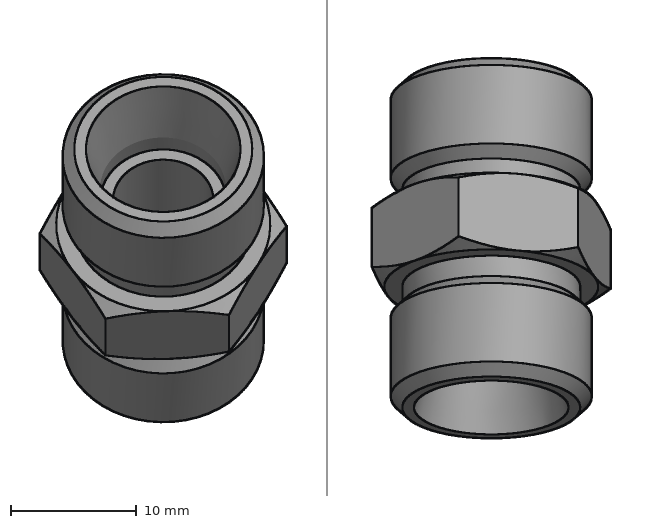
import cadquery as cq
import math

length = 27.0
half_length = length / 2
thread_radius = 16.0 / 2
neck_radius = 14.15 / 2
thread_chamfer = thread_radius - neck_radius

hex_across_flats = 17.0
hex_height = 6.5
hex_sides = 6
hex_half_side_angle = 180.0 / hex_sides
hex_chamfer_angle = 30.0
trim_clearance = 0.55
neck_length = 1.73

passage_radius = 8.0 / 2
socket_radius = 10.0 / 2
socket_depth = 7.0
cone_mouth_radius = 12.28 / 2
cone_half_angle = 12.0
cone_depth = (cone_mouth_radius - socket_radius) / math.tan(math.radians(cone_half_angle))


def revolve_half(profile):
    """Revolve (radius, height) points about the Z axis."""
    return cq.Workplane("XZ").polyline(profile).close().revolve(360, (0, 0), (0, 1))


def both_ends(upper_half):
    return upper_half.union(upper_half.mirror("XY"))


def threaded_body():
    neck_top = hex_height / 2 + neck_length
    return both_ends(revolve_half([
        (0, 0),
        (neck_radius, 0),
        (neck_radius, neck_top),
        (thread_radius, neck_top + thread_chamfer),
        (thread_radius, half_length - thread_chamfer),
        (neck_radius, half_length),
        (0, half_length),
    ]))


def hex_collar():
    flat_radius = hex_across_flats / 2
    corner_radius = flat_radius / math.cos(math.radians(hex_half_side_angle))
    prism = (
        cq.Workplane("XY")
        .polygon(hex_sides, 2 * corner_radius)
        .extrude(hex_height / 2, both=True)
        .rotate((0, 0, 0), (0, 0, 1), hex_half_side_angle)
    )
    cone_radius = corner_radius + trim_clearance
    cone_drop = (cone_radius - flat_radius) * math.tan(math.radians(hex_chamfer_angle))
    trimming_cone = both_ends(revolve_half([
        (0, 0),
        (cone_radius, 0),
        (cone_radius, hex_height / 2 - cone_drop),
        (flat_radius, hex_height / 2),
        (0, hex_height / 2),
    ]))
    return prism.intersect(trimming_cone)


def stepped_bore():
    return both_ends(revolve_half([
        (0, 0),
        (passage_radius, 0),
        (passage_radius, half_length - socket_depth),
        (socket_radius, half_length - socket_depth),
        (socket_radius, half_length - cone_depth),
        (cone_mouth_radius, half_length),
        (0, half_length),
    ]))


result = threaded_body().union(hex_collar()).cut(stepped_bore())